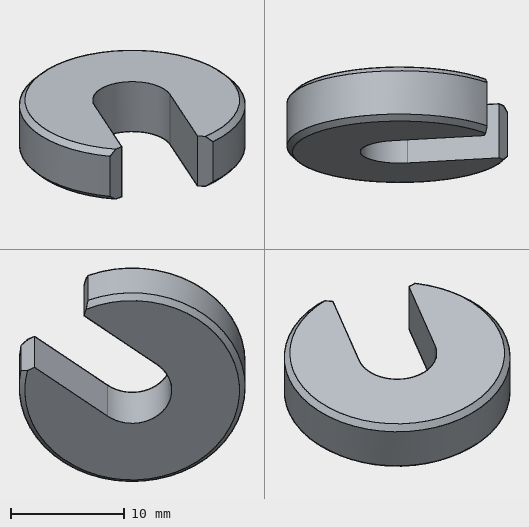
import cadquery as cq
import math

outer_diameter = 19.98
thickness = 5.0
rim_chamfer = 0.5
slot_width = 7.0
slot_corner_x = 8.25
tip_x = 8.8

outer_radius = outer_diameter / 2
slot_radius = slot_width / 2
tip_y = math.sqrt(outer_radius**2 - tip_x**2)

bevel_slope = (tip_y - slot_radius) / (tip_x - slot_corner_x)
mouth_end_x = outer_diameter
mouth_end_y = slot_radius + bevel_slope * (mouth_end_x - slot_corner_x)


def chamfered_disc():
    disc = cq.Workplane("XY").circle(outer_radius).extrude(thickness)
    return disc.faces("<Z or >Z").edges().chamfer(rim_chamfer)


def slot_cutter():
    """Round-ended slot from the disc centre, flaring at the bevelled mouth."""
    return (
        cq.Workplane("XY")
        .moveTo(0, slot_radius)
        .threePointArc((-slot_radius, 0), (0, -slot_radius))
        .lineTo(slot_corner_x, -slot_radius)
        .lineTo(mouth_end_x, -mouth_end_y)
        .lineTo(mouth_end_x, mouth_end_y)
        .lineTo(slot_corner_x, slot_radius)
        .close()
        .extrude(thickness)
    )


result = chamfered_disc().cut(slot_cutter())